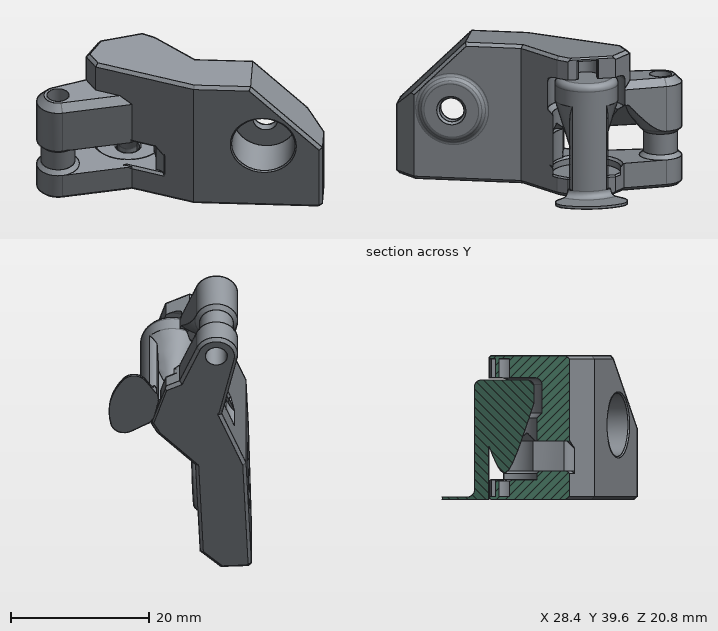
import cadquery as cq
import math


body_height = 20.8
edge_chamfer = 0.47
bevel_angle = 45
west_face_x = -2.18
west_stock = 0.25
pivot_block_north = [(-0.8, 4.55), (west_face_x - west_stock, 2.95)]
pivot_block_south = [(west_face_x - west_stock, -3.65), (0.6, -6.53), (3.45, -5.97)]
elbow = (6.17, 8.4)
arm_angle = 70
arm_width = 7.3
arm_length = 18.63
arm_nose_across = 2.9
arm_nose_along = 2.95
slope_start = 8.23

boss_along = 10.1
boss_z = 10.8
boss_height = 0.85
boss_base_radius = 5.35
boss_flat_radius = 4.0
screw_hole_diameter = 3.55
screw_hole_chamfer = 0.35
counterbore_diameter = 9.18
counterbore_chamfer = 0.2
counterbore_floor = 0.87

eye_x = 3.05
eye_y = -11.55
eye_radius = 3.1
eye_hole_diameter = 3.15
ear_height = 16.25
ear_chamfer = 1.05
ear_flare = 5
ear_side_length = 10.68
neck_diameter = 4.95

pocket_floor_z = 2.9
throat_radius = 4.95
recess_radius = 5.6
recess_bottom_z = 12.5
recess_top_z = 17.6
recess_round = 1.0
rim_chamfer = 0.35
floor_chamfer = 0.25
axle_hole_radius = 1.65
axle_throat_width = 2.75
axle_mouth_width = 3.32
axle_mouth_start = 1.95
axle_slot_skin = 0.47

slot_bottom_z = 4.15
slot_top_z = 8.45
slot_reach = 14.25
slot_exit_start = (8.65, 1.6)
slot_exit_bend = (9.35, 2.18)
slot_exit_end = (10.3, 2.4)
slot_exit_east_x = 10.15
slot_exit_bevel = 1.05
slot_flare = 0.35
slot_flare_west_x = 6.17
slot_margin = 15.82
roof_east_x = 4.45
roof_north_y = 4.85
roof_rise = 4.35
shoulder_angle = 52

knob_angle = 175
head_radius = 4.6
head_bottom_z = 13.95
head_top_z = 17.32
head_round = 1.0
cone_tip_radius = 1.3
cone_tip_z = 3.15
stem_half_width = 2.75
stem_inner = 2.37
stem_inner_half_width = 1.6
stem_side_inner = 2.85
stem_outer_half_width = 2.45
web_width = 2.55
web_bottom_z = 0.75
web_top_z = 7.9
flange_radius = 9.15
flange_thickness = 0.4
flange_half_angle = 43
flange_corner_radius = 1.98
flange_fillet = 1.0

along_arm = cq.Vector(math.cos(math.radians(arm_angle)), math.sin(math.radians(arm_angle)), 0)
across_arm = cq.Vector(along_arm.y, -along_arm.x, 0)


def arm_point(along, across):
    """Plan position measured from the elbow, along the arm and across it from its west side."""
    point = cq.Vector(*elbow, 0) + along_arm * along + across_arm * across
    return point.x, point.y


def turn_about_axis(profile):
    """Revolve a closed half profile about the vertical axis of its own plane."""
    return profile.revolve(360, (0, 0), (0, 1))


def upright_cylinder(radius, bottom, top, x=0, y=0):
    return cq.Workplane("XY", origin=(x, y, bottom)).circle(radius).extrude(top - bottom)


def cone(r1, z1, r2, z2, x=0, y=0):
    profile = [(0, z1), (r1, z1), (r2, z2), (0, z2)]
    return turn_about_axis(cq.Workplane("XZ").polyline(profile).close()).translate((x, y, 0))


def make_core():
    outline = [
        elbow,
        arm_point(arm_length - arm_nose_along, 0),
        arm_point(arm_length, arm_nose_across),
        arm_point(arm_length, arm_width - edge_chamfer),
        arm_point(arm_length - edge_chamfer, arm_width),
        arm_point(0, arm_width),
        *reversed(pivot_block_south),
        *reversed(pivot_block_north),
    ]
    core = cq.Workplane("XY").polyline(outline).close().extrude(body_height)

    slope_base = cq.Vector(*arm_point(slope_start, 0), body_height)
    wedge_size = 2 * arm_length
    wedge = (
        cq.Workplane(cq.Plane(slope_base, xDir=along_arm, normal=across_arm))
        .polyline([(0, 0), (wedge_size, 0), (wedge_size, -wedge_size)]).close()
        .extrude(wedge_size, both=True)
    )
    core = core.cut(wedge)

    ridge_selector = cq.selectors.ParallelDirSelector(across_arm)
    slope_selector = cq.selectors.ParallelDirSelector(along_arm - cq.Vector(0, 0, 1))
    top_edges = core.faces(">Z").edges(cq.selectors.InverseSelector(ridge_selector))
    core = top_edges.add(core.edges(slope_selector)).chamfer(edge_chamfer)
    core = core.faces("<Z").chamfer(edge_chamfer)

    stock = cq.Workplane("XY").box(body_height, 2 * body_height, 3 * body_height)
    return core.cut(stock.translate((west_face_x - body_height / 2, 0, 0)))


def make_ear():
    flare = math.radians(ear_flare)
    dx = eye_radius * math.cos(flare)
    dy = eye_radius * math.sin(flare)
    end_dx = dx + ear_side_length * math.sin(flare)
    end_y = eye_y - dy + ear_side_length * math.cos(flare)
    ear = (
        cq.Workplane("XY")
        .moveTo(eye_x - end_dx, end_y)
        .lineTo(eye_x - dx, eye_y - dy)
        .threePointArc((eye_x, eye_y - eye_radius), (eye_x + dx, eye_y - dy))
        .lineTo(eye_x + end_dx, end_y)
        .close()
        .extrude(ear_height)
    )
    return ear.faces(">Z").chamfer(ear_chamfer).faces("<Z").chamfer(edge_chamfer)


def make_arm_boss():
    third = (boss_base_radius - boss_flat_radius) / 3
    root = boss_base_radius - third
    crest = boss_flat_radius + third
    rise = (boss_height - third) / 2
    sag = math.hypot(third, rise) * math.tan(math.radians(bevel_angle) / 4) / 2
    lean = math.atan2(rise, third)
    sag_x = sag * math.sin(lean)
    sag_y = sag * math.cos(lean)
    foot_mid = (boss_base_radius - third / 2 - sag_x, rise / 2 - sag_y)
    crest_mid = (crest - third / 2 + sag_x, boss_height - rise / 2 + sag_y)
    profile = (
        cq.Workplane("XY")
        .lineTo(boss_base_radius, 0)
        .threePointArc(foot_mid, (root, rise))
        .lineTo(crest, boss_height - rise)
        .threePointArc(crest_mid, (boss_flat_radius, boss_height))
        .lineTo(0, boss_height)
        .close()
    )
    return place_on_arm(turn_about_axis(profile))


def place_on_arm(turned):
    """Move a shape turned about Y so that its axis crosses the arm, with +Y out of the west side."""
    position = cq.Vector(*arm_point(boss_along, 0), boss_z)
    upright = turned.rotate((0, 0, 0), (1, 0, 0), 90)
    local = cq.Plane(position, xDir=along_arm, normal=across_arm * -1)
    return cq.Workplane(upright.val().moved(cq.Location(local)))


def make_screw_hole():
    r = screw_hole_diameter / 2
    bore = counterbore_diameter / 2
    mouth = bore + counterbore_chamfer
    profile = [
        (0, boss_height),
        (r + screw_hole_chamfer, boss_height),
        (r, boss_height - screw_hole_chamfer),
        (r, -counterbore_floor),
        (bore, -counterbore_floor),
        (bore, counterbore_chamfer - arm_width),
        (mouth, -arm_width),
        (0, -arm_width),
    ]
    return place_on_arm(turn_about_axis(cq.Workplane("XY").polyline(profile).close()))


def axle_slot_outline(z):
    """Snap-in slot that runs from the axle hole out through the west face."""
    throat = axle_throat_width / 2
    mouth = axle_mouth_width / 2
    mouth_end = axle_mouth_start + mouth - throat
    neck_x = math.sqrt(axle_hole_radius**2 - throat**2)
    return (
        cq.Workplane("XY", origin=(0, 0, z))
        .moveTo(neck_x, throat)
        .lineTo(axle_mouth_start, throat)
        .lineTo(mouth_end, mouth)
        .lineTo(slot_margin, mouth)
        .lineTo(slot_margin, -mouth)
        .lineTo(mouth_end, -mouth)
        .lineTo(axle_mouth_start, -throat)
        .lineTo(neck_x, -throat)
        .threePointArc((-axle_hole_radius, 0), (neck_x, throat))
        .close()
    )


def make_axle_slot():
    """Slot for the axle, closed by a skin at both ends and chamfered at the pocket floor."""
    slot = axle_slot_outline(axle_slot_skin).extrude(body_height - 2 * axle_slot_skin)
    rim_radius = axle_hole_radius + floor_chamfer
    rim = cone(axle_hole_radius, pocket_floor_z - floor_chamfer, rim_radius, pocket_floor_z)
    return slot.union(rim).rotate((0, 0, 0), (0, 0, 1), knob_angle)


def make_head_cavity():
    step = recess_radius - throat_radius
    throat = upright_cylinder(throat_radius, pocket_floor_z, recess_bottom_z)
    funnel = cone(throat_radius, recess_bottom_z - step, recess_radius, recess_bottom_z)
    recess = upright_cylinder(recess_radius, recess_bottom_z, recess_top_z)
    rim = cone(throat_radius, slot_bottom_z - rim_chamfer, throat_radius + rim_chamfer, slot_bottom_z)
    return throat.union(rim).union(funnel).union(recess.faces(">Z").edges().fillet(recess_round))


def make_slot_exit():
    """East end of the slot, rounded in plan and bevelled in its upper east corner."""
    run = (
        cq.Workplane("XY", origin=(0, 0, slot_bottom_z))
        .moveTo(*slot_exit_start)
        .threePointArc(slot_exit_bend, slot_exit_end)
        .lineTo(slot_margin, slot_exit_end[1])
        .lineTo(slot_margin, eye_y)
        .lineTo(eye_x, eye_y)
        .close()
        .extrude(slot_top_z - slot_bottom_z)
    )
    profile = (
        cq.Workplane("XZ")
        .moveTo(eye_x, slot_bottom_z)
        .lineTo(slot_exit_east_x, slot_bottom_z)
        .lineTo(slot_exit_east_x, slot_top_z - slot_exit_bevel)
        .lineTo(slot_exit_east_x - slot_exit_bevel, slot_top_z)
        .lineTo(eye_x, slot_top_z)
        .close()
        .extrude(slot_margin, both=True)
    )
    return run.intersect(profile)


def make_exit_flare():
    """Lips at the floor and the roof where the slot leaves through the south-east side."""
    east, north = arm_point(0, arm_width)
    west, south = pivot_block_south[-1]
    along = cq.Vector(east - west, north - south, 0).normalized()
    outward = cq.Vector(along.y, -along.x, 0)
    height = slot_top_z - slot_bottom_z
    face = cq.Plane(cq.Vector(west, south, slot_bottom_z), xDir=along, normal=outward)
    start = (slot_flare_west_x - west) / along.x
    end = (slot_exit_east_x - west) / along.x
    lip = slot_flare
    top = height + lip
    corner = slot_exit_bevel + lip
    return (
        cq.Workplane(face)
        .moveTo(start, -lip)
        .lineTo(end, -lip)
        .lineTo(end, top - corner)
        .lineTo(end - corner, top)
        .lineTo(start, top)
        .close()
        .extrude(-lip, taper=bevel_angle)
    )


def make_slot():
    """Swept slot round the neck of the ear, with a roof that rises at 45 degrees."""
    roof = (
        cq.Workplane("XY", origin=(0, 0, slot_top_z))
        .moveTo(-slot_margin, -slot_margin)
        .lineTo(roof_east_x, -slot_margin)
        .lineTo(roof_east_x, roof_north_y)
        .lineTo(-slot_margin, roof_north_y)
        .close()
        .extrude(roof_rise, taper=bevel_angle)
    )
    slot = upright_cylinder(slot_reach, slot_bottom_z, slot_top_z, eye_x, eye_y)
    east_limit = cq.Workplane("XY").box(2 * slot_margin, 4 * slot_margin, 2 * body_height)
    slot = slot.intersect(east_limit.translate((slot_exit_start[0] - slot_margin, 0, 0)))
    return slot.union(make_slot_exit()).union(make_exit_flare()).union(roof).cut(make_neck())


def make_neck():
    r = neck_diameter / 2
    step = eye_radius - r
    low = slot_bottom_z + step
    high = slot_top_z - step
    neck = upright_cylinder(r, 0, body_height, eye_x, eye_y)
    foot = cone(eye_radius, slot_bottom_z, r, low, eye_x, eye_y)
    crown = cone(r, high, eye_radius, slot_top_z, eye_x, eye_y)
    shoulder_radius = eye_radius + roof_rise / math.tan(math.radians(shoulder_angle))
    shoulder = cone(eye_radius, slot_top_z, shoulder_radius, slot_top_z + roof_rise, eye_x, eye_y)
    return neck.union(foot).union(crown).union(shoulder)


def make_housing():
    eye_hole = upright_cylinder(eye_hole_diameter / 2, 0, body_height, eye_x, eye_y)
    housing = make_core().union(make_ear()).union(make_arm_boss())
    housing = housing.cut(make_screw_hole()).cut(make_slot()).cut(make_head_cavity())
    near_floor = cq.selectors.BoxSelector(
        (-slot_margin, -slot_margin, pocket_floor_z - floor_chamfer),
        (slot_margin, slot_margin, pocket_floor_z + floor_chamfer),
    )
    housing = housing.edges(near_floor).edges("%LINE").chamfer(floor_chamfer)
    return housing.cut(make_axle_slot()).cut(eye_hole)


def make_flange():
    half_angle = math.radians(flange_half_angle)
    corner_x = flange_radius * math.cos(half_angle)
    corner_y = flange_radius * math.sin(half_angle)
    sector = (
        cq.Workplane("XY")
        .lineTo(corner_x, -corner_y)
        .threePointArc((flange_radius, 0), (corner_x, corner_y))
        .close()
        .extrude(flange_thickness + flange_fillet)
    )
    sector = sector.edges("|Z").edges(">X or >Y or <Y").fillet(flange_corner_radius)
    top = flange_thickness + flange_fillet
    skirt = flange_thickness
    flare = head_radius + flange_fillet
    bend = flange_fillet * (1 - math.sqrt(0.5))
    profile = (
        cq.Workplane("XZ")
        .lineTo(flange_radius, 0)
        .lineTo(flange_radius, skirt)
        .lineTo(flare, skirt)
        .threePointArc((head_radius + bend, skirt + bend), (head_radius, top))
        .lineTo(0, top)
        .close()
    )
    return sector.intersect(turn_about_axis(profile))


def make_stem():
    """Shell of the head circle with rounded outer corners and an inner face set in from its sides."""
    outer_x = math.sqrt(head_radius**2 - stem_outer_half_width**2)
    round_x = (outer_x + stem_side_inner) / 2
    round_y = stem_half_width - (stem_half_width - stem_outer_half_width) / 4
    return (
        cq.Workplane("XY")
        .moveTo(stem_inner, -stem_inner_half_width)
        .lineTo(stem_side_inner, -stem_half_width)
        .threePointArc((round_x, -round_y), (outer_x, -stem_outer_half_width))
        .threePointArc((head_radius, 0), (outer_x, stem_outer_half_width))
        .threePointArc((round_x, round_y), (stem_side_inner, stem_half_width))
        .lineTo(stem_inner, stem_inner_half_width)
        .close()
        .extrude(head_bottom_z)
    )


def make_web():
    """Flat bar that joins the stem to the axle and passes through the slot in the housing."""
    return (
        cq.Workplane("XY", origin=(stem_side_inner / 2, 0, web_bottom_z))
        .rect(stem_side_inner, web_width)
        .extrude(web_top_z - web_bottom_z)
    )


def make_knob():
    head = upright_cylinder(head_radius, head_bottom_z, head_top_z).faces(">Z").edges().fillet(head_round)
    tip = cone(cone_tip_radius, cone_tip_z, head_radius, head_bottom_z)
    axle = upright_cylinder(cone_tip_radius, web_bottom_z, cone_tip_z)
    inside = cq.Workplane("XY").rect(2 * stem_side_inner, 4 * head_radius).extrude(head_bottom_z)
    knob = make_flange().cut(inside).union(make_stem()).union(make_web()).union(axle).union(tip).union(head)
    return knob.rotate((0, 0, 0), (0, 0, 1), knob_angle)


housing = make_housing()
knob = make_knob()
result = cq.Compound.makeCompound([housing.val(), knob.val()])